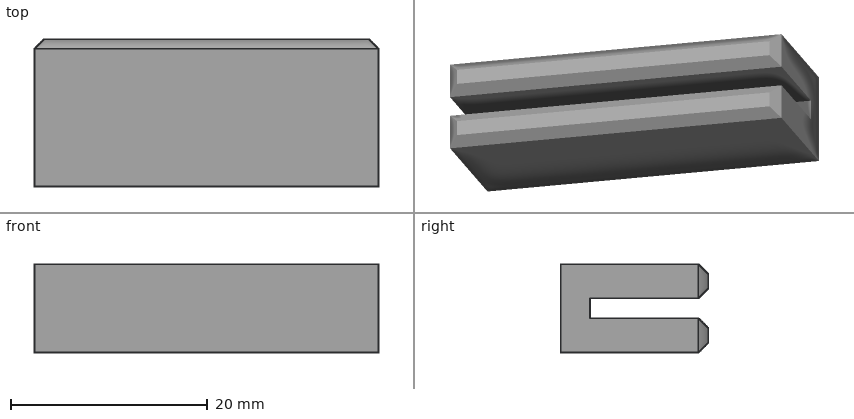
import cadquery as cq

length = 35.0
depth = 15.0
height = 9.0

slot_width = 2.0
back_wall = 3.0

tip_chamfer = 1.0

leg_thickness = (height - slot_width) / 2
leg_length = depth - back_wall


def make_back():
    """Closed wall that joins the two legs at the -Y side."""
    return cq.Workplane("XY").box(length, back_wall, height, centered=(True, False, False))


def make_leg(base_z):
    """Flat leg reaching toward +Y, with all four edges of its tip chamfered."""
    leg = cq.Workplane("XY").box(length, leg_length, leg_thickness, centered=(True, False, False))
    leg = leg.faces(">Y").edges().chamfer(tip_chamfer)
    return leg.translate((0, back_wall, base_z))


result = make_back()
for leg_base_z in (0, height - leg_thickness):
    result = result.union(make_leg(leg_base_z))
result = result.clean()